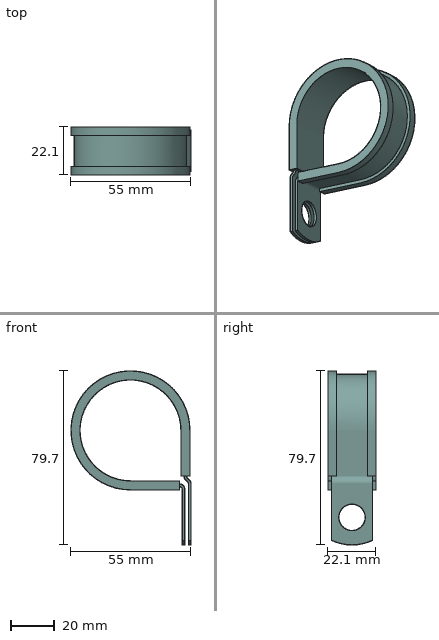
import cadquery as cq
import math


loop_radius = 27.25
cushion_thickness = 4.2
cushion_width = 22.1
side_leg_length = 20.95
bottom_leg_length = 22.5
groove_width = 14.0
groove_depth = 1.5

strap_thickness = 1.3
strap_width = 18.95
bend_radius = 1.75
outer_tail_face = 27.7
tail_gap = 1.6
tail_bottom = -52.4
tail_end_sagitta = 2.15
hole_diameter = 11.95
hole_height = 12.7

groove_radius = loop_radius - groove_depth
strap_radius = groove_radius - strap_thickness / 2
outer_tail_x = outer_tail_face - strap_thickness / 2
inner_tail_x = outer_tail_x - strap_thickness - tail_gap


def loop_band(inner_radius, outer_radius, width):
    """Three-quarter ring with a straight leg tangent to each end."""
    diagonal = math.sqrt(0.5)
    return (
        cq.Workplane("XZ")
        .moveTo(outer_radius, -side_leg_length)
        .lineTo(outer_radius, 0)
        .threePointArc((-outer_radius * diagonal, outer_radius * diagonal), (0, -outer_radius))
        .lineTo(bottom_leg_length, -outer_radius)
        .lineTo(bottom_leg_length, -inner_radius)
        .lineTo(0, -inner_radius)
        .threePointArc((-inner_radius * diagonal, inner_radius * diagonal), (inner_radius, 0))
        .lineTo(inner_radius, -side_leg_length)
        .close()
        .extrude(width / 2, both=True)
    )


def make_cushion():
    body = loop_band(loop_radius - cushion_thickness, loop_radius, cushion_width)
    groove = loop_band(groove_radius, loop_radius, groove_width)
    return body.cut(groove)


def bent_strap():
    """Strap swept along its middle line, from the inner tail to the outer tail."""
    bend_shift = bend_radius * (1 - math.cos(math.radians(45)))
    bend_drop = bend_radius * math.sin(math.radians(45))
    ramp = outer_tail_x - strap_radius - 2 * bend_shift
    step_bottom = -side_leg_length - 2 * bend_drop - ramp

    path = (
        cq.Workplane("XZ")
        .moveTo(inner_tail_x, tail_bottom)
        .lineTo(inner_tail_x, -strap_radius - bend_radius)
        .tangentArcPoint((inner_tail_x - bend_radius, -strap_radius), relative=False)
        .lineTo(0, -strap_radius)
        .tangentArcPoint((-strap_radius, 0), relative=False)
        .tangentArcPoint((strap_radius, 0), relative=False)
        .lineTo(strap_radius, -side_leg_length)
        .tangentArcPoint((bend_shift, -bend_drop))
        .line(ramp, -ramp)
        .tangentArcPoint((outer_tail_x, step_bottom), relative=False)
        .lineTo(outer_tail_x, tail_bottom)
    )
    return (
        cq.Workplane("XY", origin=(inner_tail_x, 0, tail_bottom))
        .rect(strap_thickness, strap_width)
        .sweep(path)
    )


def make_strap():
    half_width = strap_width / 2
    corner_z = tail_bottom + tail_end_sagitta
    side_profile = (
        cq.Workplane("YZ")
        .moveTo(-half_width, loop_radius)
        .lineTo(-half_width, corner_z)
        .threePointArc((0, tail_bottom), (half_width, corner_z))
        .lineTo(half_width, loop_radius)
        .close()
        .extrude(2 * loop_radius, both=True)
    )
    bolt_hole = (
        cq.Workplane("YZ")
        .center(0, tail_bottom + hole_height)
        .circle(hole_diameter / 2)
        .extrude(2 * loop_radius)
    )
    return bent_strap().intersect(side_profile).cut(bolt_hole)


result = make_cushion().union(make_strap())